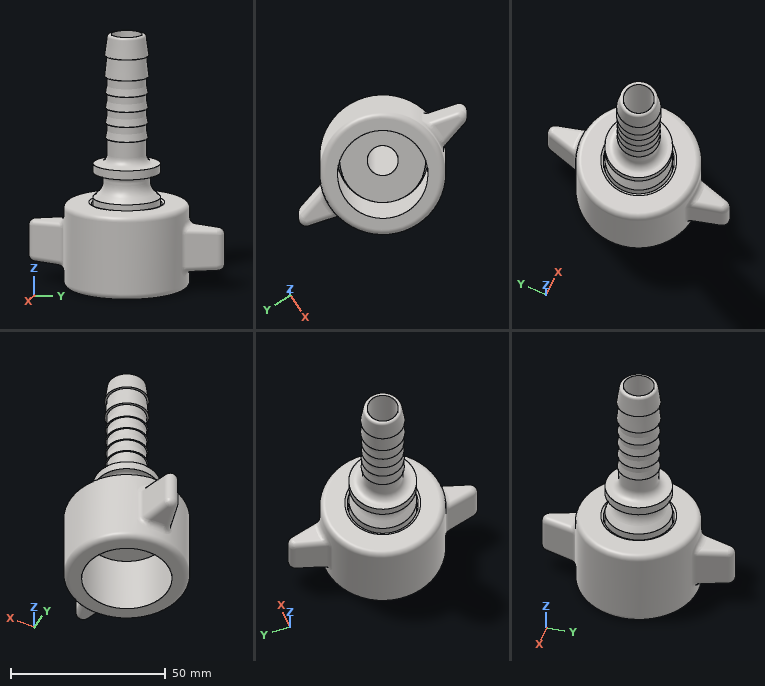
import cadquery as cq
import math

nut_radius = 41.0 / 2
nut_height = 28.0
nut_rim_fillet = 2.0
nut_hole_radius = 23.0 / 2
hole_chamfer_width = 0.8
hole_chamfer_depth = hole_chamfer_width * math.tan(math.radians(30))
lip_thickness = 5.0
cavity_radius = 29.28 / 2
lip_underside_z = nut_height - lip_thickness

wing_reach = 32.5
wing_tip_radius = 2.5
wing_side_angle = math.radians(15)
wing_draft_angle = math.radians(2)
wing_tip_height = 14.0
wing_edge_fillet = 2.0
wing_root_fillet = 2.0
wing_root_y = 18.0
wing_mid_z = nut_height / 2

stem_top = 84.0
bore_radius = 10.0 / 2
tube_radius = 13.0 / 2
tube_top_fillet = 0.9
barb_radius = 7.25
top_barb_tip_radius = 6.3
barb_tip_radii = (tube_radius, top_barb_tip_radius)
barb_height = 7.0
ring_radius = 7.0
ring_height = 2.5
ring_pitch = 5.0
ring_count = 4
lowest_ring_z = 49.5

collar_radius = 22.0 / 2
collar_top = 41.0
collar_thickness = 3.0
collar_bottom = collar_top - collar_thickness
collar_top_fillet = 3.0

neck_radius = 15.5 / 2
neck_top_fillet = 2.0
neck_length = 1.0
neck_lower_fillet = 5.0
shoulder_slope = math.radians(45)

flange_radius = 28.0 / 2
flange_thickness = 3.0


def fillet_arc(outline, centre, radius, start_angle, end_angle):
    """Draw a line to the start of an arc, then the arc; angles are in radians."""
    def on_arc(angle):
        return (centre[0] + radius * math.cos(angle), centre[1] + radius * math.sin(angle))

    outline = outline.lineTo(*on_arc(start_angle))
    return outline.threePointArc(on_arc((start_angle + end_angle) / 2), on_arc(end_angle))


def make_wing():
    """Wing pointing to +Y: tapered plan with a round tip, and drafted top and bottom faces."""
    tip_centre_y = wing_reach - wing_tip_radius
    tangent_x = wing_tip_radius * math.cos(wing_side_angle)
    tangent_y = tip_centre_y + wing_tip_radius * math.sin(wing_side_angle)
    root_x = tangent_x + (tangent_y - wing_root_y) * math.tan(wing_side_angle)
    plan = (
        cq.Workplane("XY")
        .moveTo(-root_x, wing_root_y)
        .lineTo(root_x, wing_root_y)
        .lineTo(tangent_x, tangent_y)
        .threePointArc((0, wing_reach), (-tangent_x, tangent_y))
        .close()
        .extrude(nut_height)
    )

    def half_height(y):
        return wing_tip_height / 2 + (wing_reach - y) * math.tan(wing_draft_angle)

    root_half = half_height(wing_root_y)
    tip_half = half_height(wing_reach)
    side = (
        cq.Workplane("YZ")
        .moveTo(wing_root_y, wing_mid_z - root_half)
        .lineTo(wing_reach, wing_mid_z - tip_half)
        .lineTo(wing_reach, wing_mid_z + tip_half)
        .lineTo(wing_root_y, wing_mid_z + root_half)
        .close()
        .extrude(root_x, both=True)
    )
    wing = plan.intersect(side)
    top_and_bottom = wing.faces(">Z or <Z").edges("not(<Y)")
    return wing.newObject(top_and_bottom.vals()).fillet(wing_edge_fillet)


def make_nut():
    """Round nut with two wings, a chamfered hole in its lip and a cavity open downwards."""
    nut = cq.Workplane("XY").circle(nut_radius).extrude(nut_height)
    nut = nut.faces(">Z or <Z").edges().fillet(nut_rim_fillet)
    wing = make_wing()
    for angle in (0, 180):
        nut = nut.union(wing.rotate((0, 0, 0), (0, 0, 1), angle))

    for side in (-1, 1):
        near = (-nut_radius / 2, side * wing_root_y, nut_rim_fillet + wing_root_fillet / 2)
        far = (nut_radius / 2, side * (nut_radius + wing_root_fillet / 2), nut_height - near[2])
        root_edges = cq.selectors.BoxSelector(near, far, boundingbox=True)
        nut = nut.edges(root_edges).fillet(wing_root_fillet)

    nut = nut.cut(cq.Workplane("XY").circle(nut_hole_radius).extrude(nut_height))
    nut = nut.cut(cq.Workplane("XY").circle(cavity_radius).extrude(lip_underside_z))
    chamfer_cutter = (
        cq.Workplane("XZ")
        .moveTo(0, nut_height)
        .lineTo(nut_hole_radius + hole_chamfer_width, nut_height)
        .lineTo(nut_hole_radius, nut_height - hole_chamfer_depth)
        .lineTo(0, nut_height - hole_chamfer_depth)
        .close()
        .revolve(360, (0, 0), (0, 1))
    )
    return nut.cut(chamfer_cutter)


def make_stem():
    """Hose stem, revolved from one half section."""
    neck_top = collar_bottom - neck_top_fillet
    neck_bottom = neck_top - neck_length
    lower_centre = (neck_radius + neck_lower_fillet, neck_bottom)
    cone_start_r = lower_centre[0] - neck_lower_fillet * math.cos(shoulder_slope)
    cone_start_z = neck_bottom - neck_lower_fillet * math.sin(shoulder_slope)
    cone_base_z = cone_start_z - (collar_radius - cone_start_r) * math.tan(shoulder_slope)

    outline = (
        cq.Workplane("XZ")
        .moveTo(bore_radius, lip_underside_z - flange_thickness)
        .lineTo(flange_radius, lip_underside_z - flange_thickness)
        .lineTo(flange_radius, lip_underside_z)
        .lineTo(collar_radius, lip_underside_z)
        .lineTo(collar_radius, cone_base_z)
    )
    outline = fillet_arc(outline, lower_centre, neck_lower_fillet, math.pi + shoulder_slope, math.pi)
    upper_centre = (neck_radius + neck_top_fillet, neck_top)
    outline = fillet_arc(outline, upper_centre, neck_top_fillet, math.pi, math.pi / 2)
    outline = (
        outline.lineTo(collar_radius, collar_bottom)
        .lineTo(collar_radius, collar_top)
    )
    tube_centre = (tube_radius + collar_top_fillet, collar_top + collar_top_fillet)
    outline = fillet_arc(outline, tube_centre, collar_top_fillet, 1.5 * math.pi, math.pi)

    for index in range(ring_count):
        ring_z = lowest_ring_z + index * ring_pitch
        outline = (
            outline.lineTo(tube_radius, ring_z)
            .lineTo(ring_radius, ring_z)
            .lineTo(tube_radius, ring_z + ring_height)
        )
    lowest_barb_z = stem_top - len(barb_tip_radii) * barb_height
    outline = outline.lineTo(tube_radius, lowest_barb_z)
    for index, tip_radius in enumerate(barb_tip_radii):
        barb_z = lowest_barb_z + index * barb_height
        outline = (
            outline.lineTo(barb_radius, barb_z)
            .lineTo(tip_radius, barb_z + barb_height)
        )
    stem = outline.lineTo(bore_radius, stem_top).close().revolve(360, (0, 0), (0, 1))
    return stem.faces(">Z").edges(cq.selectors.RadiusNthSelector(-1)).fillet(tube_top_fillet)


nut = make_nut()
stem = make_stem()

result = cq.Compound.makeCompound([nut.val(), stem.val()])